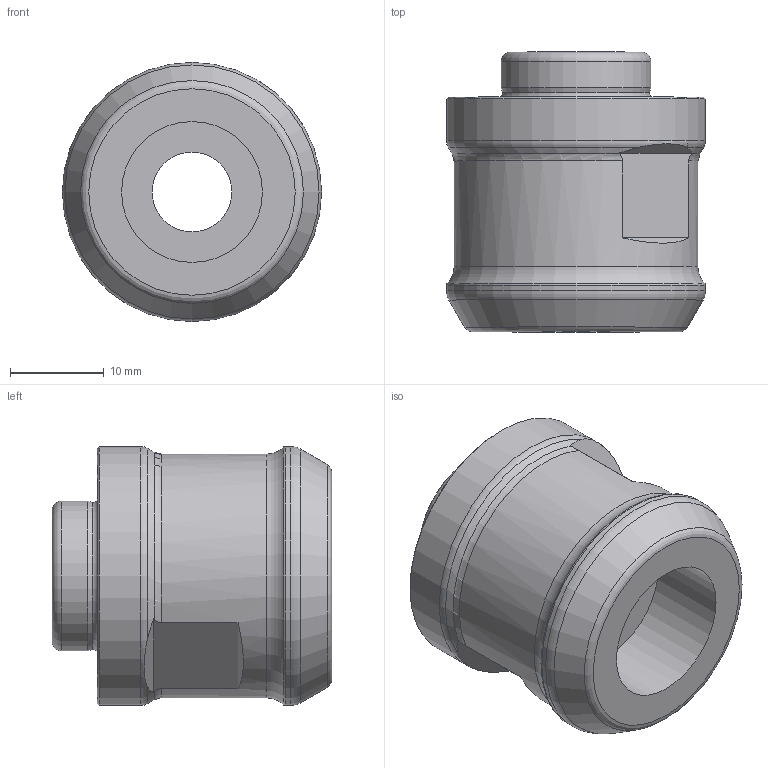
import cadquery as cq
import math


COLLAR_DIAMETER = 27.6
WAIST_DIAMETER = 25.98
NOSE_DIAMETER = 15.95
SHOULDER_Y = 25.0
NOSE_LENGTH = 4.8

CONE_ANGLE = math.radians(30)
FRONT_FACE_RADIUS = 11.0
FRONT_EDGE_ROUND = 1.0
CREST_ROUND = 2.0
CREST_END_Y = 4.95
RIM_EDGE_ROUND = 0.3
RIM_HOLLOW = 2.5

COLLAR_START_Y = 20.4
COLLAR_ROUND = 1.5
COLLAR_EDGE_CHAMFER = 0.2

NOSE_EDGE_ROUND = 1.0
RELIEF_WIDTH = 1.0
RELIEF_DEPTH = 0.15
RELIEF_ROUND = 0.6
RELIEF_ROUND_HEIGHT = 0.5

BORE_DIAMETER = 15.0
BORE_DEPTH = 8.7
THROUGH_DIAMETER = 8.5

WRENCH_SIZE = 24.0
FLAT_START_Y = 10.0
FLAT_LENGTH = 9.0
FLAT_DIRECTION = 45.0
FLAT_END_SLOPE = math.radians(30)
CUT_MARGIN = 3.0

COLLAR_RADIUS = COLLAR_DIAMETER / 2
WAIST_RADIUS = WAIST_DIAMETER / 2
NOSE_RADIUS = NOSE_DIAMETER / 2
TOTAL_LENGTH = SHOULDER_Y + NOSE_LENGTH


def on_circle(center, radius, angle):
    """Point at an angle, measured from the radial direction, around a center (radius, y)."""
    return (center[0] + radius * math.cos(angle), center[1] + radius * math.sin(angle))


def add_arc(profile, center, radius, start, end):
    """Extend the profile along an arc about center; the profile already ends at angle start."""
    middle = on_circle(center, radius, (start + end) / 2)
    return profile.threePointArc(middle, on_circle(center, radius, end))


def add_front_rim(profile):
    edge_center = (FRONT_FACE_RADIUS, FRONT_EDGE_ROUND)
    profile = profile.lineTo(FRONT_FACE_RADIUS, 0)
    profile = add_arc(profile, edge_center, FRONT_EDGE_ROUND, -math.pi / 2, -CONE_ANGLE)
    cone_radius, cone_y = on_circle(edge_center, FRONT_EDGE_ROUND, -CONE_ANGLE)

    crest_start_radius = COLLAR_RADIUS - CREST_ROUND * (1 - math.cos(CONE_ANGLE))
    crest_start_y = cone_y + (crest_start_radius - cone_radius) / math.tan(CONE_ANGLE)
    crest_center = (COLLAR_RADIUS - CREST_ROUND, crest_start_y + CREST_ROUND * math.sin(CONE_ANGLE))
    profile = profile.lineTo(crest_start_radius, crest_start_y)
    profile = add_arc(profile, crest_center, CREST_ROUND, -CONE_ANGLE, 0)

    drop = COLLAR_RADIUS - WAIST_RADIUS
    turn = math.acos(1 - drop / (RIM_EDGE_ROUND + RIM_HOLLOW))
    round_center = (COLLAR_RADIUS - RIM_EDGE_ROUND, CREST_END_Y)
    hollow_center = on_circle(round_center, RIM_EDGE_ROUND + RIM_HOLLOW, turn)
    profile = profile.lineTo(COLLAR_RADIUS, CREST_END_Y)
    profile = add_arc(profile, round_center, RIM_EDGE_ROUND, 0, turn)
    return add_arc(profile, hollow_center, RIM_HOLLOW, math.pi + turn, math.pi)


def add_collar(profile):
    round_drop = COLLAR_ROUND * (1 - math.cos(CONE_ANGLE))
    round_length = COLLAR_ROUND * math.sin(CONE_ANGLE)
    cone_drop = COLLAR_RADIUS - WAIST_RADIUS - 2 * round_drop
    waist_end_y = COLLAR_START_Y - 2 * round_length - cone_drop / math.tan(CONE_ANGLE)
    hollow_center = (WAIST_RADIUS + COLLAR_ROUND, waist_end_y)
    round_center = (COLLAR_RADIUS - COLLAR_ROUND, COLLAR_START_Y)

    profile = profile.lineTo(WAIST_RADIUS, waist_end_y)
    profile = add_arc(profile, hollow_center, COLLAR_ROUND, math.pi, math.pi - CONE_ANGLE)
    profile = profile.lineTo(*on_circle(round_center, COLLAR_ROUND, -CONE_ANGLE))
    profile = add_arc(profile, round_center, COLLAR_ROUND, -CONE_ANGLE, 0)
    profile = profile.lineTo(COLLAR_RADIUS, SHOULDER_Y - COLLAR_EDGE_CHAMFER)
    return profile.lineTo(COLLAR_RADIUS - COLLAR_EDGE_CHAMFER, SHOULDER_Y)


def add_nose(profile):
    relief_radius = NOSE_RADIUS - RELIEF_DEPTH
    relief_center = (relief_radius + RELIEF_ROUND, SHOULDER_Y + RELIEF_ROUND_HEIGHT)
    relief_start = math.pi + math.asin(RELIEF_ROUND_HEIGHT / RELIEF_ROUND)
    profile = profile.lineTo(*on_circle(relief_center, RELIEF_ROUND, relief_start))
    profile = add_arc(profile, relief_center, RELIEF_ROUND, relief_start, math.pi)
    profile = profile.lineTo(NOSE_RADIUS, SHOULDER_Y + RELIEF_WIDTH)

    end_center = (NOSE_RADIUS - NOSE_EDGE_ROUND, TOTAL_LENGTH - NOSE_EDGE_ROUND)
    profile = profile.lineTo(NOSE_RADIUS, end_center[1])
    profile = add_arc(profile, end_center, NOSE_EDGE_ROUND, 0, math.pi / 2)
    return profile.lineTo(0, TOTAL_LENGTH)


def turned_body():
    profile = cq.Workplane("XY").moveTo(0, 0)
    profile = add_front_rim(profile)
    profile = add_collar(profile)
    profile = add_nose(profile)
    return profile.close().revolve(360, (0, 0, 0), (0, 1, 0))


def bore(diameter, depth):
    """Cylinder along Y starting at the front face."""
    return cq.Workplane("XZ").circle(diameter / 2).extrude(-depth)


def flat_cutter(direction):
    """Trapezoidal cutter for one wrench flat, turned about Y to face the given direction."""
    floor = WRENCH_SIZE / 2
    top = COLLAR_RADIUS + CUT_MARGIN
    spread = (top - floor) * math.tan(FLAT_END_SLOPE)
    flat_end_y = FLAT_START_Y + FLAT_LENGTH
    cutter = (
        cq.Workplane("XY")
        .moveTo(floor, FLAT_START_Y)
        .lineTo(floor, flat_end_y)
        .lineTo(top, flat_end_y + spread)
        .lineTo(top, FLAT_START_Y - spread)
        .close()
        .extrude(COLLAR_RADIUS, both=True)
    )
    return cutter.rotate((0, 0, 0), (0, 1, 0), -direction)


result = turned_body()
result = result.cut(bore(BORE_DIAMETER, BORE_DEPTH))
result = result.cut(bore(THROUGH_DIAMETER, TOTAL_LENGTH))
for side in (0, 180):
    result = result.cut(flat_cutter(FLAT_DIRECTION + side))